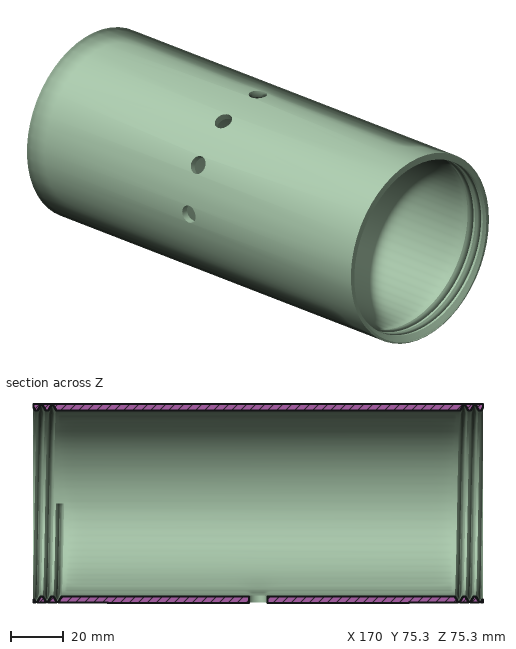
import cadquery as cq
import math

length = 170.0
outer_diameter = 75.3
bore_diameter = 70.0

thread_pitch = 4.0
thread_turns = 3
thread_depth = 2.4
thread_root_width = 0.3
flank_angle = 30.0
thread_lead_out = 1.9
bore_overlap = 0.2

hole_diameter = 7.0
hole_count = 4
hole_spacing_angle = 30.0


def make_tube():
    """Plain tube."""
    outline = cq.Workplane("YZ").workplane(offset=-length / 2)
    return outline.circle(outer_diameter / 2).circle(bore_diameter / 2).extrude(length)


def thread_groove():
    """Helical groove cutter at the -X end, starting and ending at the bottom of the bore."""
    root_radius = bore_diameter / 2 + thread_depth
    inner_radius = bore_diameter / 2 - bore_overlap
    half_root = thread_root_width / 2
    half_mouth = half_root + (root_radius - inner_radius) * math.tan(math.radians(flank_angle))

    helix = cq.Wire.makeHelix(thread_pitch, thread_pitch * thread_turns, bore_diameter / 2)
    profile = cq.Workplane("XZ").polyline([
        (inner_radius, -half_mouth),
        (root_radius, -half_root),
        (root_radius, half_root),
        (inner_radius, half_mouth),
    ]).close()
    groove = profile.sweep(cq.Workplane(helix), isFrenet=True)

    groove = groove.rotate((0, 0, 0), (0, 1, 0), 90)
    return groove.translate((-length / 2 - thread_lead_out, 0, 0))


def radial_hole(angle):
    """Cutter from the axis outwards, turned from +Z towards -Y by the angle."""
    cutter = cq.Workplane("XY").circle(hole_diameter / 2).extrude(outer_diameter)
    return cutter.rotate((0, 0, 0), (1, 0, 0), angle)


tube = make_tube()

groove = thread_groove()
tube = tube.cut(groove)
tube = tube.cut(groove.rotate((0, 0, 0), (0, 1, 0), 180))

for index in range(hole_count):
    tube = tube.cut(radial_hole(index * hole_spacing_angle))

result = tube